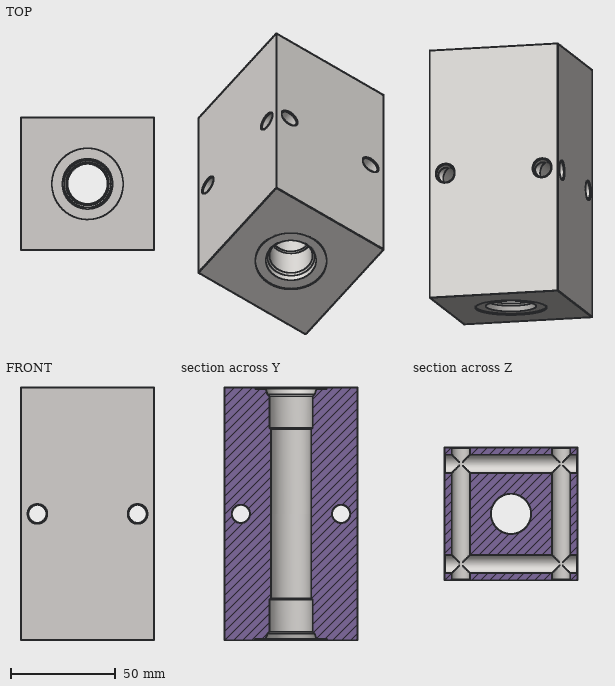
import cadquery as cq

block_height = 120.6
block_width = 63.5
edge_chamfer = 0.22
half_height = block_height / 2

spot_face_radius = 17.0
spot_face_depth = 0.7
seal_cone_mouth_diameter = 24.0
seal_cone_end_radius = 11.2
seal_cone_end_depth = 3.3
thread_radius = 10.3
thread_depth = 19.3
bore_radius = 9.5

hole_diameter = 8.6
hole_mouth_diameter = 9.5
hole_offset = 23.9


def make_block():
    """Square block with every edge lightly chamfered."""
    block = cq.Workplane("XY").box(block_width, block_width, block_height)
    return block.edges().chamfer(edge_chamfer)


def make_port_bore():
    """Stepped bore along Z, turned from the profile of its upper half and mirrored about mid-height."""
    thread_start_depth = seal_cone_end_depth + seal_cone_end_radius - thread_radius
    bore_start_depth = thread_depth + thread_radius - bore_radius
    upper_profile = [
        (0, 0),
        (bore_radius, 0),
        (bore_radius, half_height - bore_start_depth),
        (thread_radius, half_height - thread_depth),
        (thread_radius, half_height - thread_start_depth),
        (seal_cone_end_radius, half_height - seal_cone_end_depth),
        (seal_cone_mouth_diameter / 2, half_height - spot_face_depth),
        (spot_face_radius, half_height - spot_face_depth),
        (spot_face_radius, half_height),
        (0, half_height),
    ]
    upper_bore = cq.Workplane("XZ").polyline(upper_profile).close().revolve(360, (0, 0), (0, 1))
    return upper_bore.union(upper_bore.mirror("XY"))


def make_mounting_hole():
    """Through hole along Y with a 45 degree chamfer at both mouths."""
    mouth_chamfer = (hole_mouth_diameter - hole_diameter) / 2
    hole = cq.Workplane("XZ").circle(hole_diameter / 2).extrude(block_width / 2, both=True)
    for direction in (1, -1):
        mouth = (
            cq.Workplane("XZ", origin=(0, direction * block_width / 2, 0))
            .circle(hole_mouth_diameter / 2)
            .workplane(offset=direction * mouth_chamfer)
            .circle(hole_diameter / 2)
            .loft()
        )
        hole = hole.union(mouth)
    return hole


result = make_block().cut(make_port_bore())
mounting_hole = make_mounting_hole()
for side in (-1, 1):
    hole_along_y = mounting_hole.translate((side * hole_offset, 0, 0))
    hole_along_x = hole_along_y.rotate((0, 0, 0), (0, 0, 1), 90)
    result = result.cut(hole_along_y).cut(hole_along_x)